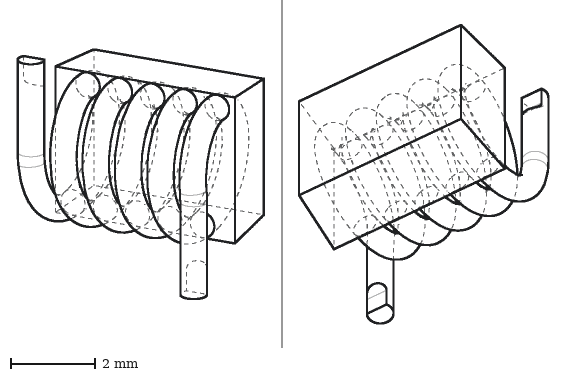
import cadquery as cq
import math


wire_diameter = 0.635
wire_radius = wire_diameter / 2
coil_outer_diameter = 3.68
coil_radius = (coil_outer_diameter - wire_diameter) / 2
pitch = 0.858
turns = 5
helix_length = pitch * turns
helix_slope = math.atan(pitch / (2 * math.pi * coil_radius))

bend_height = 0.275
bend_radius = bend_height / math.sin(helix_slope)
bend_shift = bend_radius * (1 - math.cos(helix_slope))
lead_x = helix_length / 2 + bend_shift
lead_y = -coil_radius
lead_end_z = 2.605

flat_depth = 0.16
flat_length = 0.76
flat_runout_radius = 0.24

housing_front_length = 4.76
housing_front_height = coil_outer_diameter
housing_draft = 4.0
housing_front_y = 0.195
housing_depth = 1.775


def make_helix():
    """Five helical turns about the X axis, starting and ending at the coil's front."""
    start_frame = cq.Plane(
        origin=(-helix_length / 2, 0, 0),
        xDir=(0, -1, 0),
        normal=(1, 0, 0),
    )
    helix = cq.Wire.makeHelix(pitch, helix_length, coil_radius).moved(cq.Location(start_frame))
    section_plane = cq.Plane(
        origin=(-helix_length / 2, -coil_radius, 0),
        xDir=(0, 1, 0),
        normal=(math.sin(helix_slope), 0, -math.cos(helix_slope)),
    )
    return cq.Workplane(section_plane).circle(wire_radius).sweep(cq.Workplane(obj=helix), isFrenet=True)


def make_lead():
    """The upward lead at the -X end, with its bend and its flattened end."""
    bend_plane = cq.Plane(origin=(-lead_x, lead_y, bend_height), xDir=(1, 0, 0), normal=(0, 0, 1))
    straight = cq.Workplane(bend_plane).circle(wire_radius).extrude(lead_end_z - bend_height)
    bend = (
        cq.Workplane(bend_plane)
        .circle(wire_radius)
        .revolve(math.degrees(helix_slope), (bend_radius, 1), (bend_radius, 0))
    )
    return straight.cut(make_lead_flat()).union(bend)


def make_lead_flat():
    """Material removed from the back of the upward lead's end."""
    back_y = lead_y + wire_radius
    flat_y = back_y - flat_depth
    runout_centre_y = flat_y + flat_runout_radius
    runout_start_z = lead_end_z - flat_length + flat_runout_radius
    return (
        cq.Workplane("YZ", origin=(-lead_x, 0, 0))
        .moveTo(flat_y, lead_end_z)
        .lineTo(flat_y, runout_start_z)
        .radiusArc((runout_centre_y, lead_end_z - flat_length), -flat_runout_radius)
        .lineTo(runout_centre_y, lead_end_z)
        .close()
        .extrude(wire_radius, both=True)
    )


def make_winding():
    upper_lead = make_lead()
    lower_lead = upper_lead.rotate((0, 0, 0), (0, 1, 0), 180)
    return make_helix().union(upper_lead).union(lower_lead)


def make_housing(winding):
    """Tapered block moulded around the back of the coil."""
    front_face = cq.Plane(origin=(0, housing_front_y, 0), xDir=(1, 0, 0), normal=(0, 1, 0))
    block = (
        cq.Workplane(front_face)
        .rect(housing_front_length, housing_front_height)
        .extrude(housing_depth, taper=housing_draft)
    )
    return block.cut(winding)


winding = make_winding()
housing = make_housing(winding)

result = cq.Compound.makeCompound([housing.solids().val(), winding.solids().val()])